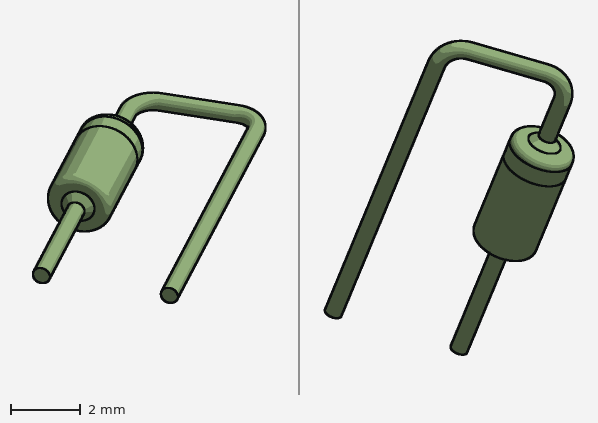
import cadquery as cq

lead_radius = 0.255
lead_spacing = 3.8
bend_radius = 0.75
overall_length = 10.01
fold_y = overall_length - lead_radius

body_radius = 0.956
body_start_y = 3.81
body_length = 3.65
body_end_y = body_start_y + body_length
edge_fillet = 0.24
cone_length = 0.21
cone_base_radius = 0.49
front_tip_y = body_start_y - cone_length
rear_tip_y = body_end_y + cone_length

band_width = 0.52
band_end_offset = 0.3
band_depth = 0.05
band_start_y = body_end_y - band_end_offset - band_width


def cylinder_along_y(radius, start_y, length):
    return cq.Workplane("XZ", origin=(0, start_y, 0)).circle(radius).extrude(-length)


def end_cone(base_y, tip_y):
    """Cone that narrows from the glass face to the lead."""
    return (
        cq.Workplane("XY")
        .moveTo(0, base_y)
        .lineTo(cone_base_radius, base_y)
        .lineTo(lead_radius, tip_y)
        .lineTo(0, tip_y)
        .close()
        .revolve(360, (0, 0, 0), (0, 1, 0))
    )


def make_band():
    outer = cylinder_along_y(body_radius, band_start_y, band_width)
    inner = cylinder_along_y(body_radius - band_depth, band_start_y, band_width)
    return outer.cut(inner)


def make_glass_body(band):
    """Rounded cylinder with a cone at each end and a groove that holds the band."""
    barrel = cylinder_along_y(body_radius, body_start_y, body_length).edges().fillet(edge_fillet)
    with_front_cone = barrel.union(end_cone(body_start_y, front_tip_y))
    with_cones = with_front_cone.union(end_cone(body_end_y, rear_tip_y))
    return with_cones.cut(band)


def make_straight_lead():
    return cylinder_along_y(lead_radius, 0, front_tip_y)


def make_folded_lead():
    """Lead that leaves the rear cone, turns twice and runs back to the plane Y = 0."""
    bend_start_y = fold_y - bend_radius
    path = (
        cq.Workplane("XY")
        .moveTo(0, rear_tip_y)
        .lineTo(0, bend_start_y)
        .radiusArc((bend_radius, fold_y), bend_radius)
        .lineTo(lead_spacing - bend_radius, fold_y)
        .radiusArc((lead_spacing, bend_start_y), bend_radius)
        .lineTo(lead_spacing, 0)
    )
    return cq.Workplane("XZ", origin=(0, rear_tip_y, 0)).circle(lead_radius).sweep(path)


band = make_band()
glass_body = make_glass_body(band)
straight_lead = make_straight_lead()
folded_lead = make_folded_lead()

result = cq.Compound.makeCompound(
    [glass_body.val(), band.val(), straight_lead.val(), folded_lead.val()]
)